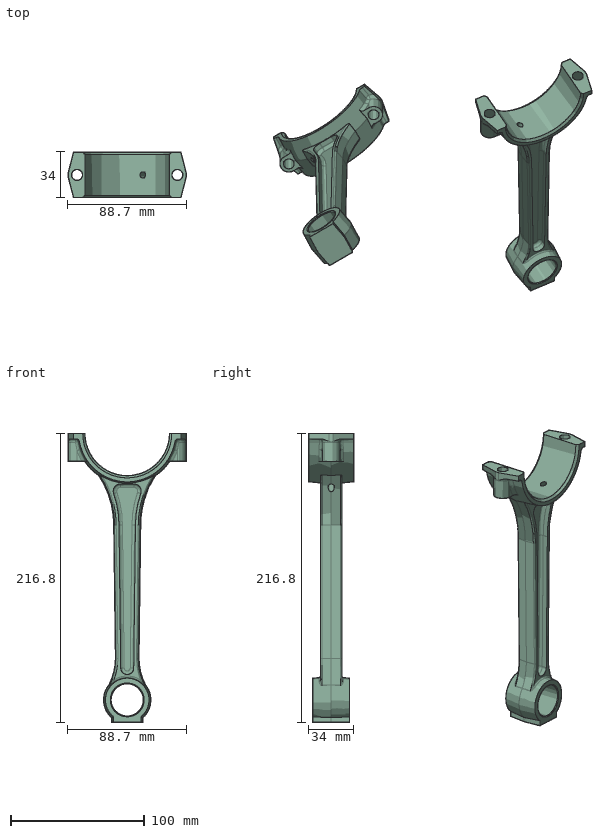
import cadquery as cq
import math

DRAFT = 6.0
DRAFT_SLOPE = math.tan(math.radians(DRAFT))

LENGTH = 216.8
WIDTH = 88.7

BIG_BORE_RADIUS = 31.7
BIG_OUTER_RADIUS = 38.2
BIG_HALF_DEPTH = 34.0 / 2
BIG_CHAMFER = 1.7

BOLT_HOLE_DIAMETER = 8.0
BOSS_RADIUS = 6.7
BOSS_HEIGHT = 21.0
BOLT_X = WIDTH / 2 - BOSS_RADIUS
EAR_THICKNESS = 4.1
EAR_TIP_HALF_WIDTH = 1.5
EAR_SHOULDER_X = 40.3
EAR_FILLET = 2.5

SMALL_Z = -200.0
SMALL_BORE_DIAMETER = 24.0
SMALL_OUTER_RADIUS = 17.8
SMALL_HALF_DEPTH = 13.9
SMALL_CHAMFER = 0.7
PAD_HALF_WIDTH = 11.7

SHANK_HALF_DEPTH = 8.13
SHANK_TOP_Z = -68.7
SHANK_TOP_HALF_WIDTH = 10.2
SHANK_BOTTOM_Z = -168.7
SHANK_BOTTOM_HALF_WIDTH = 8.9
TOP_FLARE_RADIUS = 67.2
TOP_FLARE_HEIGHT = 39.7
BOTTOM_FLARE_RADIUS = 43.4
BOTTOM_FLARE_HEIGHT = 22.3
SHANK_EDGE_FILLET = 1.2
SMALL_END_FILLET = 1.0

RIM_WIDTH = 4.01
CHANNEL_DEPTH = 6.5
CHANNEL_TOP_Z = -38.0
CHANNEL_BOTTOM_Z = -180.8
CHANNEL_FLOOR_FILLET = 2.5
CHANNEL_CORNER_FILLET = 5.5

OIL_HOLE_DIAMETER = 4.5
OIL_HOLE_X = 11.7


def flare_offset(radius, height):
    """Sideways travel of a flare arc that starts parallel to Z and rises by the height."""
    return radius - math.sqrt(radius**2 - height**2)


def flare_point(x, z, radius, rise):
    return (x + flare_offset(radius, rise), z + rise)


def mirrored(point):
    return (-point[0], point[1])


def drafted_disc(radius, half_depth):
    """Disc about the Y axis, widest at the mid plane and drafted toward both faces."""
    face_radius = radius - half_depth * DRAFT_SLOPE
    outer_side = [(face_radius, -half_depth), (radius, 0), (face_radius, half_depth)]
    profile = [(0, -half_depth)] + outer_side + [(0, half_depth)]
    return cq.Workplane("XY").polyline(profile).close().revolve(360, (0, 0), (0, 1))


def chamfered_bore(radius, half_depth, chamfer):
    """Cutter about the Y axis for a bore with a chamfer at both faces."""
    wide = radius + chamfer
    inner = half_depth - chamfer
    outer_side = [(wide, -half_depth), (radius, -inner), (radius, inner), (wide, half_depth)]
    profile = [(0, -half_depth)] + outer_side + [(0, half_depth)]
    return cq.Workplane("XY").polyline(profile).close().revolve(360, (0, 0), (0, 1))


def ear_plan():
    """Plan outline over both ears: a long hexagon with a short flat at each tip."""
    corner = [(EAR_SHOULDER_X, -BIG_HALF_DEPTH), (WIDTH / 2, -EAR_TIP_HALF_WIDTH)]
    right_side = corner + [(x, -y) for x, y in reversed(corner)]
    left_side = [(-x, -y) for x, y in right_side]
    return cq.Workplane("XY").polyline(right_side + left_side).close()


def make_big_end():
    """Half ring with two ears; the creases are rounded on an oversize flange, then trimmed to the plan."""
    below = cq.Workplane("XY").rect(2 * WIDTH, WIDTH).extrude(-WIDTH)
    ring = drafted_disc(BIG_OUTER_RADIUS, BIG_HALF_DEPTH).intersect(below)
    flange = cq.Workplane("XY").rect(1.5 * WIDTH, 2 * BIG_HALF_DEPTH).extrude(-EAR_THICKNESS)
    bosses = cq.Workplane("XY").slot2D(2 * BOLT_X + 2 * BOSS_RADIUS, 2 * BOSS_RADIUS).extrude(-BOSS_HEIGHT)
    body = ring.union(flange).union(bosses)
    margin = 0.2
    inner_y = BIG_HALF_DEPTH - margin
    creases = cq.selectors.BoxSelector(
        (-WIDTH / 2, -inner_y, -BOSS_HEIGHT + margin), (WIDTH / 2, inner_y, -EAR_THICKNESS + margin)
    )
    body = body.edges(creases).edges("not |Z").fillet(EAR_FILLET)
    return body.intersect(ear_plan().extrude(-LENGTH))


def make_small_end():
    """Drafted eye with a flat pad at the bottom."""
    face_half_width = PAD_HALF_WIDTH - SMALL_HALF_DEPTH * DRAFT_SLOPE
    disc = drafted_disc(SMALL_OUTER_RADIUS, SMALL_HALF_DEPTH).translate((0, 0, SMALL_Z))
    outline = [
        (-face_half_width, -SMALL_HALF_DEPTH), (face_half_width, -SMALL_HALF_DEPTH), (PAD_HALF_WIDTH, 0),
        (face_half_width, SMALL_HALF_DEPTH), (-face_half_width, SMALL_HALF_DEPTH), (-PAD_HALF_WIDTH, 0),
    ]
    base = cq.Workplane("XY").workplane(offset=-LENGTH)
    pad = base.polyline(outline).close().extrude(LENGTH + SMALL_Z)
    above_base = cq.Workplane("XY").workplane(offset=-LENGTH).rect(WIDTH, WIDTH).extrude(LENGTH)
    return disc.union(pad).intersect(above_base)


def make_shank():
    """Tapered shank that flares into both ends, drafted and rounded along its long edges."""
    top = (SHANK_TOP_HALF_WIDTH, SHANK_TOP_Z, TOP_FLARE_RADIUS)
    bottom = (SHANK_BOTTOM_HALF_WIDTH, SHANK_BOTTOM_Z, BOTTOM_FLARE_RADIUS)
    top_mid = flare_point(*top, TOP_FLARE_HEIGHT / 2)
    top_end = flare_point(*top, TOP_FLARE_HEIGHT)
    bottom_mid = flare_point(*bottom, -BOTTOM_FLARE_HEIGHT / 2)
    bottom_end = flare_point(*bottom, -BOTTOM_FLARE_HEIGHT)
    outline = (
        cq.Workplane("XZ")
        .moveTo(*bottom_end)
        .threePointArc(bottom_mid, bottom[:2])
        .lineTo(*top[:2])
        .threePointArc(top_mid, top_end)
        .lineTo(*mirrored(top_end))
        .threePointArc(mirrored(top_mid), mirrored(top[:2]))
        .lineTo(*mirrored(bottom[:2]))
        .threePointArc(mirrored(bottom_mid), mirrored(bottom_end))
        .close()
    )
    half = outline.extrude(SHANK_HALF_DEPTH, taper=DRAFT)
    half = half.faces("<Y").edges("not #Z").edges("not |X").fillet(SHANK_EDGE_FILLET)
    return half.union(half.mirror("XZ"))


def small_end_creases(front):
    """Box around the crease between the small end and the front or back face of the shank."""
    side = -1 if front else 1
    near_y, far_y = sorted((side * (SHANK_HALF_DEPTH - 0.55), side * (SHANK_HALF_DEPTH + 0.33)))
    half_x = 14.0
    low_z, high_z = -190.8, -182.1
    return cq.selectors.BoxSelector((-half_x, near_y, low_z), (half_x, far_y, high_z))


def make_channel():
    """Cutter for the front channel, an inward offset of the shank outline with rounded floor edges."""
    corner_x = SHANK_TOP_HALF_WIDTH - RIM_WIDTH
    radius = TOP_FLARE_RADIUS + RIM_WIDTH
    rise = CHANNEL_TOP_Z - SHANK_TOP_Z
    top_mid = flare_point(corner_x, SHANK_TOP_Z, radius, rise / 2)
    top_end = flare_point(corner_x, SHANK_TOP_Z, radius, rise)
    end_x = SHANK_BOTTOM_HALF_WIDTH - RIM_WIDTH
    end_z = CHANNEL_BOTTOM_Z + end_x
    outline = (
        cq.Workplane("XZ", origin=(0, -SHANK_HALF_DEPTH + CHANNEL_DEPTH, 0))
        .moveTo(end_x, end_z)
        .lineTo(corner_x, SHANK_TOP_Z)
        .threePointArc(top_mid, top_end)
        .lineTo(*mirrored(top_end))
        .threePointArc(mirrored(top_mid), (-corner_x, SHANK_TOP_Z))
        .lineTo(-end_x, end_z)
        .threePointArc((0, CHANNEL_BOTTOM_Z), (end_x, end_z))
        .close()
    )
    channel = outline.extrude(2 * CHANNEL_DEPTH)
    channel = channel.edges("|Y").edges(">Z").fillet(CHANNEL_CORNER_FILLET)
    return channel.faces(">Y").edges().fillet(CHANNEL_FLOOR_FILLET)


def make_oil_hole():
    """Radial hole from the big end axis, tilted so that it leaves through the +X side."""
    tilt = math.degrees(math.asin(OIL_HOLE_X / BIG_BORE_RADIUS))
    hole = cq.Workplane("XY").transformed(rotate=(0, 0, 45)).circle(OIL_HOLE_DIAMETER / 2).extrude(-LENGTH / 3)
    return hole.rotate((0, 0, 0), (0, 1, 0), -tilt)


rod = make_big_end().union(make_shank()).union(make_small_end())
rod = rod.edges(small_end_creases(True)).fillet(SMALL_END_FILLET)
rod = rod.edges(small_end_creases(False)).fillet(SMALL_END_FILLET)

channel = make_channel()
rod = rod.cut(channel).cut(channel.mirror("XZ"))
rod = rod.cut(chamfered_bore(BIG_BORE_RADIUS, BIG_HALF_DEPTH, BIG_CHAMFER))
small_bore = chamfered_bore(SMALL_BORE_DIAMETER / 2, SMALL_HALF_DEPTH, SMALL_CHAMFER)
rod = rod.cut(small_bore.translate((0, 0, SMALL_Z)))
bolt_axes = cq.Workplane("XY").pushPoints([(-BOLT_X, 0), (BOLT_X, 0)])
rod = rod.cut(bolt_axes.circle(BOLT_HOLE_DIAMETER / 2).extrude(-LENGTH / 5))
result = rod.cut(make_oil_hole())